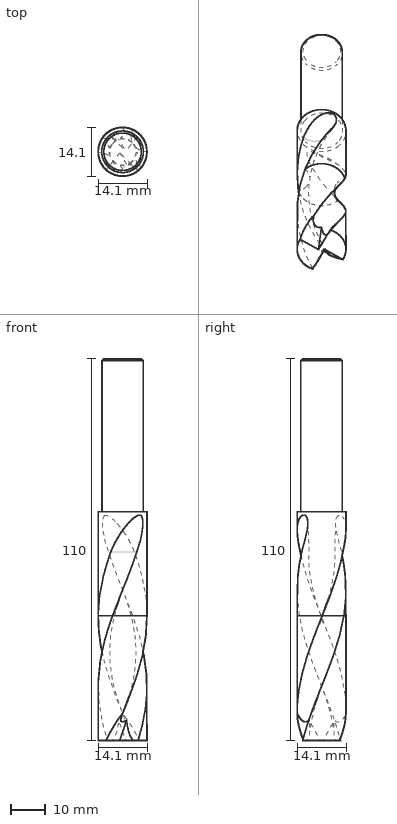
import cadquery as cq
import math

TOTAL_LENGTH = 110.0
SHANK_DIAMETER = 12.0
SHANK_CHAMFER = 0.6
DRILL_DIAMETER = 14.1
DRILL_RADIUS = DRILL_DIAMETER / 2
SHOULDER_HEIGHT = 66.0
JOINT_HEIGHT = 36.0

FLUTE_COUNT = 2
FLUTE_PITCH = 111.0
FLUTE_RADIUS = 4.3
CORE_RADIUS = 3.75
FLUTE_START_ANGLE = -83.0
FLUTE_TOP = 54.4
RUNOUT_END = 65.0
RUNOUT_PITCH = 95.0
RUNOUT_STEPS = 4
OVERCUT = 2.0

BACK_FACE_POINT = (-4.8, -5.2, 0)
BACK_FACE_NORMAL = (30, -24, -24)
RAKE_FACE_POINT = (3.1, -4.2, 0)
RAKE_FACE_NORMAL = (-3, -3, -0.7)
GASH_SIZE = 40.0


def cylinder(diameter, bottom, top):
    return cq.Workplane("XY").workplane(offset=bottom).circle(diameter / 2).extrude(top - bottom)


def flute_angle(height):
    """Direction of the first flute at a height, in degrees from +X."""
    helix_height = min(height, FLUTE_TOP)
    runout_height = height - helix_height
    turns = helix_height / FLUTE_PITCH + runout_height / RUNOUT_PITCH
    return FLUTE_START_ANGLE + 360 * turns


def runout_lift(height):
    """Outward travel of the flute floor, growing with the square of the height."""
    fraction = (height - FLUTE_TOP) / (RUNOUT_END - FLUTE_TOP)
    return (DRILL_RADIUS - CORE_RADIUS) * fraction ** 2


def flute_section(height, lift=0):
    """Round flute section at a height, moved outward from full depth by lift."""
    distance = CORE_RADIUS + FLUTE_RADIUS + lift
    angle = math.radians(flute_angle(height))
    return (
        cq.Workplane("XY")
        .workplane(offset=height)
        .moveTo(distance * math.cos(angle), distance * math.sin(angle))
        .circle(FLUTE_RADIUS)
    )


def flute_cutter():
    """Full-depth helical stretch of one flute."""
    length = FLUTE_TOP + OVERCUT
    return flute_section(-OVERCUT).twistExtrude(length, 360 * length / FLUTE_PITCH)


def runout_cutter():
    """Stretch above the helix where the flute rises out of the drill."""
    step = (RUNOUT_END + OVERCUT - FLUTE_TOP) / RUNOUT_STEPS
    wires = []
    for index in range(RUNOUT_STEPS + 1):
        height = FLUTE_TOP + step * index
        wires.extend(flute_section(height, runout_lift(height)).ctx.pendingWires)
    return cq.Workplane(cq.Solid.makeLoft(wires))


def half_space(point, normal):
    """Large block on the side of a plane that the normal points to."""
    plane = cq.Plane(origin=point, normal=normal)
    return cq.Workplane(plane).rect(2 * GASH_SIZE, 2 * GASH_SIZE).extrude(GASH_SIZE)


def gash_cutter():
    """V-shaped wedge that opens the tip end of one flute."""
    back = half_space(BACK_FACE_POINT, BACK_FACE_NORMAL)
    rake = half_space(RAKE_FACE_POINT, RAKE_FACE_NORMAL)
    return back.intersect(rake)


def cut_around(body, cutter):
    """Cut the same feature once for each flute."""
    for index in range(FLUTE_COUNT):
        turned = cutter.rotate((0, 0, 0), (0, 0, 1), 360 * index / FLUTE_COUNT)
        body = body.cut(turned)
    return body


def make_holder():
    shank = cylinder(SHANK_DIAMETER, SHOULDER_HEIGHT, TOTAL_LENGTH).faces(">Z").chamfer(SHANK_CHAMFER)
    holder = cylinder(DRILL_DIAMETER, JOINT_HEIGHT, SHOULDER_HEIGHT).union(shank)
    holder = cut_around(holder, flute_cutter())
    return cut_around(holder, runout_cutter())


def make_cutting_head():
    head = cylinder(DRILL_DIAMETER, 0, JOINT_HEIGHT)
    head = cut_around(head, flute_cutter())
    return cut_around(head, gash_cutter())


holder = make_holder()
cutting_head = make_cutting_head()
result = cq.Compound.makeCompound([holder.val(), cutting_head.val()])